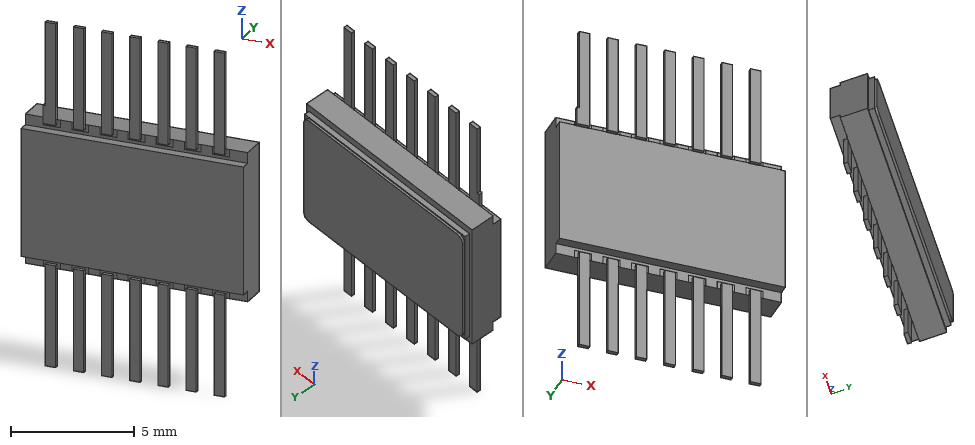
import cadquery as cq

HOUSING_WIDTH = 9.85
HOUSING_HEIGHT = 6.6
HOUSING_DEPTH = 1.17
FRONT_BLOCK_DEPTH = 0.43
LEDGE_HEIGHT = 0.47
FRONT_BLOCK_HEIGHT = HOUSING_HEIGHT - 2 * LEDGE_HEIGHT

LEADS_PER_ROW = 7
LEAD_PITCH = 1.25
LEAD_SPAN = 15.2
LEAD_WIDTH = 0.45
LEAD_THICKNESS = 0.18
LEAD_OVERLAP = 0.2
LEAD_START = HOUSING_HEIGHT / 2 - LEAD_OVERLAP
LEAD_LENGTH = LEAD_SPAN / 2 - LEAD_START

TAB_WIDTH = 0.1
TAB_RISE = 0.61

PAD_WIDTH = 0.75
PAD_HEIGHT = 0.33
PAD_THICKNESS = 0.008

SEAL_SIDE_MARGIN = 0.15
SEAL_END_MARGIN = 0.33
SEAL_THICKNESS = 0.25
SEAL_WIDTH = HOUSING_WIDTH - 2 * SEAL_SIDE_MARGIN
SEAL_HEIGHT = HOUSING_HEIGHT - 2 * SEAL_END_MARGIN
LID_MARGIN = 0.05
LID_THICKNESS = 0.1
LID_CORNER_RADIUS = 0.35


def plate(width, height, front_y, depth):
    """Plate centred on X and Z, reaching back from front_y by depth."""
    return cq.Workplane("XY").box(width, depth, height).translate((0, front_y + depth / 2, 0))


def ledge_block(x_left, width, z_bottom, height, thickness):
    """Block standing forward from the ledge plane Y = 0."""
    block = cq.Workplane("XY").box(width, thickness, height, centered=False)
    return block.translate((x_left, -thickness, z_bottom))


def upper_lead_with_pad(x_center):
    """Lead of the upper row, with the pad it is soldered to."""
    lead = ledge_block(x_center - LEAD_WIDTH / 2, LEAD_WIDTH, LEAD_START, LEAD_LENGTH, LEAD_THICKNESS)
    pad_bottom = HOUSING_HEIGHT / 2 - PAD_HEIGHT
    pad = ledge_block(x_center - PAD_WIDTH / 2, PAD_WIDTH, pad_bottom, PAD_HEIGHT, PAD_THICKNESS)
    return lead.union(pad)


def index_tab(x_center):
    """Tab on the left edge of the lead at x_center."""
    x_left = x_center - LEAD_WIDTH / 2 - TAB_WIDTH
    return ledge_block(x_left, TAB_WIDTH + LEAD_WIDTH, LEAD_START, LEAD_OVERLAP + TAB_RISE, LEAD_THICKNESS)


def make_housing():
    """Stepped ceramic block with both rows of leads fused to it."""
    housing = plate(HOUSING_WIDTH, HOUSING_HEIGHT, 0, HOUSING_DEPTH)
    front_block = plate(HOUSING_WIDTH, FRONT_BLOCK_HEIGHT, -FRONT_BLOCK_DEPTH, FRONT_BLOCK_DEPTH)
    housing = housing.union(front_block)
    first_x = -LEAD_PITCH * (LEADS_PER_ROW - 1) / 2
    for index in range(LEADS_PER_ROW):
        upper = upper_lead_with_pad(first_x + index * LEAD_PITCH)
        lower = upper.mirror("XY")
        housing = housing.union(upper).union(lower)
    return housing.union(index_tab(first_x))


def make_seal_plate():
    """Square-cornered plate on the back of the housing."""
    return plate(SEAL_WIDTH, SEAL_HEIGHT, HOUSING_DEPTH, SEAL_THICKNESS)


def make_lid():
    """Thin cover with rounded corners on the back of the seal plate."""
    width = SEAL_WIDTH - 2 * LID_MARGIN
    height = SEAL_HEIGHT - 2 * LID_MARGIN
    lid = plate(width, height, HOUSING_DEPTH + SEAL_THICKNESS, LID_THICKNESS)
    return lid.edges("|Y").fillet(LID_CORNER_RADIUS)


housing = make_housing()
seal_plate = make_seal_plate()
lid = make_lid()

result = cq.Compound.makeCompound([housing.val(), seal_plate.val(), lid.val()])